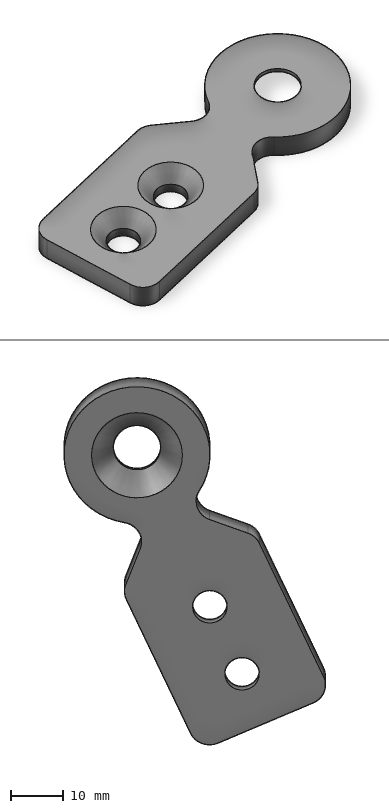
import cadquery as cq
import math

length = 74.0
width = 28.0
thickness = 5.0
eye_bore = 9.0
eye_head = 17.4
corner_radius = 4.0
neck_radius = 4.0
straight_side_top = 34.0
screw_bore = 6.6
screw_head = 12.6
countersink_angle = 90.0
first_screw_y = 11.0
screw_pitch = 15.0
screw_count = 2

half_width = width / 2
eye_radius = half_width
eye_y = length - eye_radius
diagonal = math.sqrt(0.5)

shoulder_center_x = half_width - corner_radius
shoulder_end = (
    shoulder_center_x + corner_radius * diagonal,
    straight_side_top + corner_radius * diagonal,
)

u = (sum(shoulder_end) - eye_y) * diagonal + neck_radius
v = math.sqrt((eye_radius + neck_radius) ** 2 - u ** 2)
neck_x = (u + v) * diagonal
neck_y = eye_y + (u - v) * diagonal
eye_share = eye_radius / (eye_radius + neck_radius)
neck_bottom = (neck_x - neck_radius * diagonal, neck_y - neck_radius * diagonal)
neck_waist = (neck_x - neck_radius, neck_y)
neck_top = (neck_x * eye_share, eye_y + (neck_y - eye_y) * eye_share)


def mirrored(point):
    return (-point[0], point[1])


def arc_middle(center_x, center_y, degrees):
    """Point on a corner arc at the given direction from its center."""
    angle = math.radians(degrees)
    return (
        center_x + corner_radius * math.cos(angle),
        center_y + corner_radius * math.sin(angle),
    )


def plate():
    base_corner = (half_width - corner_radius, 0)
    side_bottom = (half_width, corner_radius)
    side_top = (half_width, straight_side_top)
    base_middle = arc_middle(shoulder_center_x, corner_radius, -45)
    shoulder_middle = arc_middle(shoulder_center_x, straight_side_top, 22.5)
    return (
        cq.Workplane("XY")
        .moveTo(*mirrored(base_corner))
        .lineTo(*base_corner)
        .threePointArc(base_middle, side_bottom)
        .lineTo(*side_top)
        .threePointArc(shoulder_middle, shoulder_end)
        .lineTo(*neck_bottom)
        .threePointArc(neck_waist, neck_top)
        .threePointArc((0, length), mirrored(neck_top))
        .threePointArc(mirrored(neck_waist), mirrored(neck_bottom))
        .lineTo(*mirrored(shoulder_end))
        .threePointArc(mirrored(shoulder_middle), mirrored(side_top))
        .lineTo(*mirrored(side_bottom))
        .threePointArc(mirrored(base_middle), mirrored(base_corner))
        .close()
        .extrude(thickness)
    )


def countersunk_hole(bore, head):
    """Cutter along Z for a hole through the plate, countersunk from the top face."""
    cone_depth = (head - bore) / 2 / math.tan(math.radians(countersink_angle / 2))
    return (
        cq.Workplane("XZ")
        .lineTo(head / 2, 0)
        .lineTo(bore / 2, -cone_depth)
        .lineTo(bore / 2, -thickness)
        .lineTo(0, -thickness)
        .close()
        .revolve(360, (0, 0), (0, 1))
    )


eye_cutter = countersunk_hole(eye_bore, eye_head).rotate((0, 0, 0), (1, 0, 0), 180)
result = plate().cut(eye_cutter.translate((0, eye_y, 0)))

screw_cutter = countersunk_hole(screw_bore, screw_head)
for index in range(screw_count):
    screw_y = first_screw_y + index * screw_pitch
    result = result.cut(screw_cutter.translate((0, screw_y, thickness)))